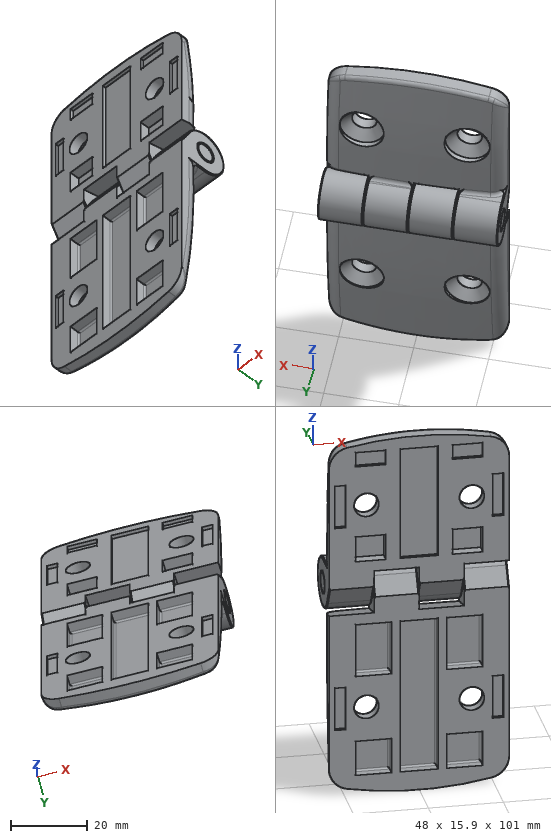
import cadquery as cq
import math


WIDTH = 48.0
TOTAL_HEIGHT = 101.0
UPPER_REACH = 43.5
LOWER_REACH = TOTAL_HEIGHT - UPPER_REACH
AXIS_Z = TOTAL_HEIGHT / 2 - UPPER_REACH

DEPTH = 15.9
KNUCKLE_RADIUS = 7.0
AXIS_Y = DEPTH - KNUCKLE_RADIUS
KNUCKLE_COUNT = 4
KNUCKLE_WIDTH = WIDTH / KNUCKLE_COUNT
KNUCKLE_CHAMFER = 0.3
KNUCKLE_FLANK_ANGLE = 60.0
SHOULDER_FILLET = 1.0
PIN_RADIUS = 3.1
PIN_CHAMFER = 0.5

RECESS_EDGE_Z = 6.0
RECESS_LEAN = 0.24

THICKNESS = 7.7
CROWN_RADIUS = 242.4
SIDE_ROUNDING = 4.0
TIP_RADIUS = 100.0
CORNER_RADIUS = 6.0
TIP_FILLET = 1.2
UPPER_BACK_RADIUS = 145.4
UPPER_PEAK_Z = 12.7
LOWER_BACK_RADIUS = 236.3
LOWER_PEAK_Z = 15.6

HOLE_X = 14.0
HOLE_DIAMETER = 6.6
SINK_DIAMETER = 11.9
SINK_ANGLE = 90.0
UPPER_HOLE_Z = 24.9
LOWER_HOLE_Z = 32.6
SINK_Y = 5.8

SLOT_WIDTH = 2.9
SLOT_HEIGHT = 12.0
SLOT_X = 21.0
SHALLOW_DEPTH = 1.0
DEEP_DEPTH = 3.0
FLOOR_FILLET = 0.5
POCKET_OUTER_X = 17.0
POCKET_START_Z = 9.0
MIDDLE_WIDTH = 10.1
UPPER_POCKET_WIDTH = 8.1
UPPER_POCKET_END_Z = 40.1
UPPER_TIP_POCKET_HEIGHT = 4.0
UPPER_HINGE_POCKET_HEIGHT = 7.1
LOWER_POCKET_WIDTH = 9.6
LOWER_POCKET_END_Z = 51.9
LOWER_TIP_POCKET_HEIGHT = 9.7
LOWER_HINGE_POCKET_HEIGHT = 14.7

OVERRUN = 1.0


def level_edges(z):
    """Selector for the edges that lie at height z."""
    near = 0.1
    return cq.selectors.BoxSelector((-WIDTH, 0, z - near), (WIDTH, DEPTH, z + near))


def front_plane(y=0.0):
    """Plane parallel to the mounting faces, with local axes X and Z and normal -Y."""
    return cq.Workplane(cq.Plane((0, y, 0), xDir=(1, 0, 0), normal=(0, -1, 0)))


def side_plane(x):
    """Plane across the hinge axis, with local axes Y and Z and normal +X."""
    return cq.Workplane("YZ", origin=(x, 0, 0))


def knuckle_starts(first):
    """Left ends of every second knuckle, counted from the left edge."""
    return [-WIDTH / 2 + i * KNUCKLE_WIDTH for i in range(first, KNUCKLE_COUNT, 2)]


def arched_outline(plane, base, peak, arch_radius, corner_radius):
    """Closed outline as wide as the hinge: flat base, straight sides, rounded corners, arched top."""
    half = WIDTH / 2
    arch_center = peak - arch_radius
    corner_x = half - corner_radius
    corner_rise = math.sqrt((arch_radius - corner_radius) ** 2 - corner_x**2)
    corner_v = arch_center + corner_rise
    lean = math.atan2(corner_x, corner_rise)
    middle = (math.pi / 2 + lean) / 2

    def on_corner(angle):
        return corner_x + corner_radius * math.sin(angle), corner_v + corner_radius * math.cos(angle)

    def mirrored(point):
        return -point[0], point[1]

    corner_end = on_corner(lean)
    corner_middle = on_corner(middle)
    return (
        plane.moveTo(-half, base)
        .lineTo(-half, corner_v)
        .threePointArc(mirrored(corner_middle), mirrored(corner_end))
        .threePointArc((0, peak), corner_end)
        .threePointArc(corner_middle, (half, corner_v))
        .lineTo(half, base)
        .close()
    )


def plate(reach, back_radius, peak_z):
    """Plate with a doubly curved back, rounded sides and a rounded tip edge."""
    axis_y = THICKNESS - back_radius
    section = arched_outline(
        cq.Workplane("XY"), -OVERRUN, THICKNESS, CROWN_RADIUS, SIDE_ROUNDING
    )
    ring = section.revolve(360, (0, axis_y), (1, axis_y))
    ring = ring.rotate((0, axis_y, 0), (1, axis_y, 0), 180).translate((0, 0, peak_z))
    outline = arched_outline(front_plane(), RECESS_EDGE_Z, reach, TIP_RADIUS, CORNER_RADIUS)
    body = ring.intersect(outline.extrude(-DEPTH))
    return body.edges("%BSPLINE").edges("not(<Z)").fillet(TIP_FILLET)


def knuckle(start_x):
    """Knuckle with a flat on its plate side and a sloping flank, chamfered at both ends."""
    flank = math.radians(KNUCKLE_FLANK_ANGLE)
    tangent_y = AXIS_Y - KNUCKLE_RADIUS * math.sin(flank)
    tangent_z = -KNUCKLE_RADIUS * math.cos(flank)
    flank_top = tangent_z + tangent_y * math.tan(flank)
    body = (
        side_plane(start_x)
        .moveTo(0, KNUCKLE_RADIUS)
        .lineTo(0, flank_top)
        .lineTo(tangent_y, tangent_z)
        .threePointArc((AXIS_Y + KNUCKLE_RADIUS * math.sin(flank), tangent_z), (AXIS_Y, KNUCKLE_RADIUS))
        .close()
        .extrude(KNUCKLE_WIDTH)
    )
    ends = body.faces("<X or >X").edges("not(<Y)")
    return ends.chamfer(KNUCKLE_CHAMFER)


def recess_cut(start_x):
    """Room for one knuckle of the other leaf."""
    far_z = RECESS_EDGE_Z + RECESS_LEAN * DEPTH
    return (
        side_plane(start_x)
        .polyline([(0, -DEPTH), (0, RECESS_EDGE_Z), (DEPTH, far_z), (DEPTH, -DEPTH)])
        .close()
        .extrude(KNUCKLE_WIDTH)
    )


def screw_hole(x, z, back_y):
    """Through hole with a countersink that reaches its full diameter at depth back_y."""
    hole_radius = HOLE_DIAMETER / 2
    sink_radius = SINK_DIAMETER / 2
    slope = math.tan(math.radians(SINK_ANGLE / 2))
    sink_y = back_y - (sink_radius - hole_radius) / slope
    return (
        cq.Workplane("XY", origin=(x, 0, z))
        .moveTo(0, 0)
        .lineTo(hole_radius, 0)
        .lineTo(hole_radius, sink_y)
        .lineTo(sink_radius, back_y)
        .lineTo(sink_radius, DEPTH)
        .lineTo(0, DEPTH)
        .close()
        .revolve(360, (0, 0), (0, 1))
    )


def pocket(x, start_z, width, height, depth):
    """Rectangular pocket sunk into the mounting face, starting at start_z."""
    return front_plane().center(x, start_z + height / 2).rect(width, height).extrude(-depth)


def rounded_pocket(x, start_z, width, height):
    """Deep pocket of the lower leaf, with a rounded floor edge."""
    return pocket(x, start_z, width, height, DEEP_DEPTH).faces(">Y").edges().fillet(FLOOR_FILLET)


def leaf(reach, back_radius, peak_z, hole_z):
    """Leaf with only its side slots: plate, knuckles, pin bore and screw holes."""
    body = plate(reach, back_radius, peak_z)
    for x in knuckle_starts(0) + knuckle_starts(1):
        body = body.union(knuckle(x))
    shoulders = body.edges(level_edges(KNUCKLE_RADIUS)).edges("%BSPLINE")
    body = shoulders.fillet(SHOULDER_FILLET).cut(pin_blank())
    for x in knuckle_starts(1):
        body = body.cut(recess_cut(x))
    for side in (-1, 1):
        body = body.cut(screw_hole(side * HOLE_X, hole_z, SINK_Y))
        body = body.cut(pocket(side * SLOT_X, hole_z - SLOT_HEIGHT / 2, SLOT_WIDTH, SLOT_HEIGHT, SHALLOW_DEPTH))
    return body


def upper_leaf():
    body = leaf(UPPER_REACH, UPPER_BACK_RADIUS, UPPER_PEAK_Z, UPPER_HOLE_Z)
    middle_height = UPPER_POCKET_END_Z - POCKET_START_Z
    body = body.cut(pocket(0, POCKET_START_Z, MIDDLE_WIDTH, middle_height, SHALLOW_DEPTH))
    width = UPPER_POCKET_WIDTH
    tip_start = UPPER_POCKET_END_Z - UPPER_TIP_POCKET_HEIGHT
    for side in (-1, 1):
        x = side * (POCKET_OUTER_X - width / 2)
        body = body.cut(pocket(x, tip_start, width, UPPER_TIP_POCKET_HEIGHT, SHALLOW_DEPTH))
        body = body.cut(pocket(x, POCKET_START_Z, width, UPPER_HINGE_POCKET_HEIGHT, DEEP_DEPTH))
    return body.translate((0, 0, AXIS_Z))


def lower_leaf():
    body = leaf(LOWER_REACH, LOWER_BACK_RADIUS, LOWER_PEAK_Z, LOWER_HOLE_Z)
    body = body.cut(rounded_pocket(0, POCKET_START_Z, MIDDLE_WIDTH, LOWER_POCKET_END_Z - POCKET_START_Z))
    width = LOWER_POCKET_WIDTH
    tip_start = LOWER_POCKET_END_Z - LOWER_TIP_POCKET_HEIGHT
    for side in (-1, 1):
        x = side * (POCKET_OUTER_X - width / 2)
        body = body.cut(rounded_pocket(x, tip_start, width, LOWER_TIP_POCKET_HEIGHT))
        body = body.cut(rounded_pocket(x, POCKET_START_Z, width, LOWER_HINGE_POCKET_HEIGHT))
    turned = body.rotate((0, 0, 0), (0, 1, 0), 180)
    return turned.translate((0, 0, AXIS_Z))


def pin_blank():
    """Plain cylinder along the hinge axis, as long as the hinge is wide."""
    return side_plane(-WIDTH / 2).center(AXIS_Y, 0).circle(PIN_RADIUS).extrude(WIDTH)


def hinge_pin():
    return pin_blank().faces("<X or >X").chamfer(PIN_CHAMFER).translate((0, 0, AXIS_Z))


upper = upper_leaf()
lower = lower_leaf()
pin = hinge_pin()
result = cq.Compound.makeCompound([upper.val(), lower.val(), pin.val()])